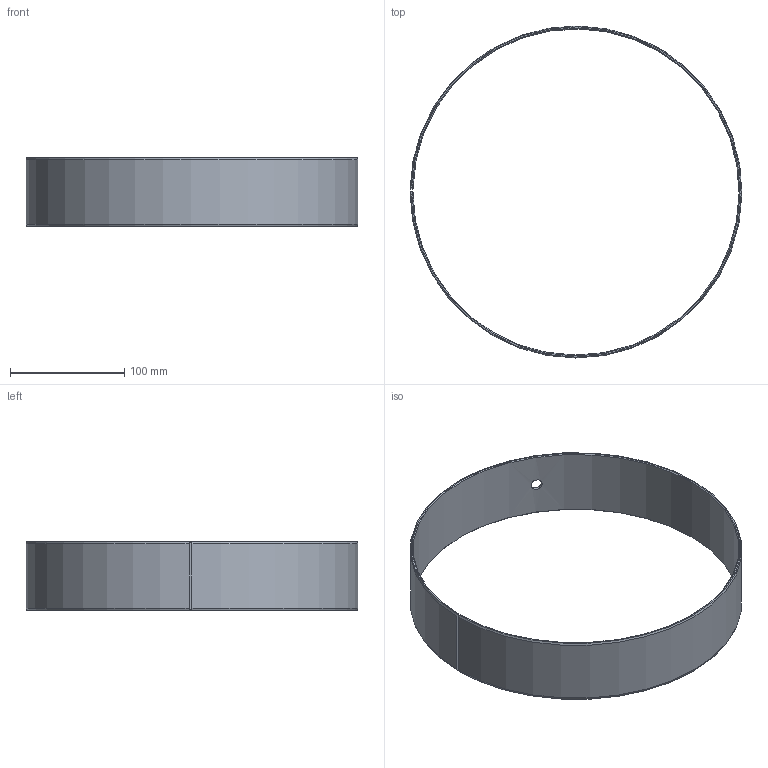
import cadquery as cq
import math

outer_radius = 145.0
wall = 2.5
height = 60.0
inner_radius = outer_radius - wall

outer_chamfer_height = 1.8
outer_chamfer_slope = 20.0
outer_chamfer_depth = outer_chamfer_height * math.tan(math.radians(outer_chamfer_slope))

inner_chamfer = 0.8

slit_angle = 1.0

hole_diameter = 10.0
hole_angle = 59.0
hole_height = height / 2


def make_split_band():
    """Revolve the wall section, starting on the -X side and stopping short at the slit."""
    section = (
        cq.Workplane("XZ")
        .moveTo(-inner_radius - inner_chamfer, 0)
        .lineTo(-outer_radius + outer_chamfer_depth, 0)
        .lineTo(-outer_radius, outer_chamfer_height)
        .lineTo(-outer_radius, height - outer_chamfer_height)
        .lineTo(-outer_radius + outer_chamfer_depth, height)
        .lineTo(-inner_radius - inner_chamfer, height)
        .lineTo(-inner_radius, height - inner_chamfer)
        .lineTo(-inner_radius, inner_chamfer)
        .close()
    )
    return section.revolve(360 - slit_angle, (0, 0, 0), (0, 1, 0))


def make_hole_cutter():
    """Cylinder that crosses the wall along the hole's radial direction."""
    angle = math.radians(hole_angle)
    direction = cq.Vector(math.cos(angle), math.sin(angle), 0)
    start = direction * (inner_radius - wall) + cq.Vector(0, 0, hole_height)
    return cq.Solid.makeCylinder(hole_diameter / 2, 3 * wall, start, direction)


result = make_split_band().cut(cq.Workplane(make_hole_cutter()))